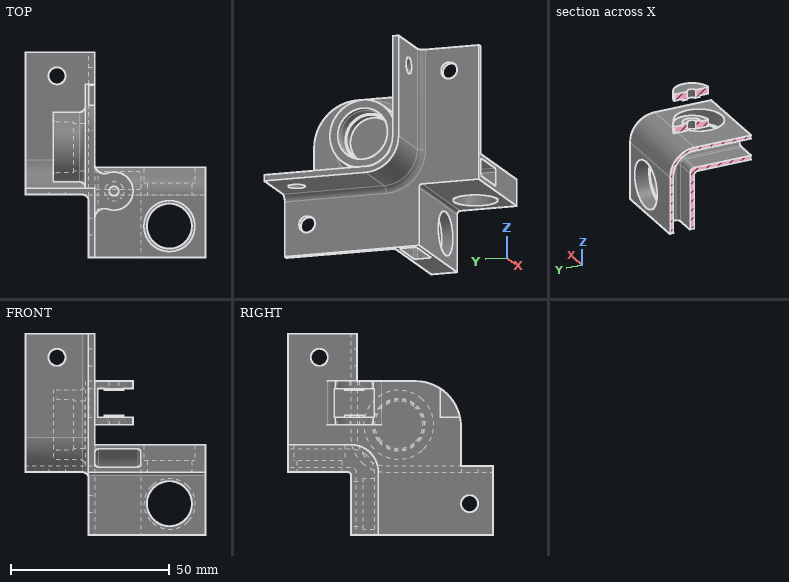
import cadquery as cq
import math

X_AXIS = (1, 0, 0)
Y_AXIS = (0, 1, 0)
Z_AXIS = (0, 0, 1)
COS_45 = math.sqrt(0.5)

LENGTH_X = 57.0
LENGTH_Y = 65.0
LENGTH_Z = 63.75

CORNER = 19.95
SHEET = 2.0
SHEET_BACK = CORNER + SHEET
BEND_OUTER_R = 11.05
BEND_CENTRE = CORNER + BEND_OUTER_R
WEB_FILLET_R = SHEET

SLAB = 8.7
SLAB_BACK = CORNER + SLAB
CORNER_FILLET_R = 1.05

SCREW_R = 2.65
SCREW_END_INSET = 7.5
SCREW_SIDE = CORNER / 2

SLAB_HOLE_X = 45.55
SLAB_HOLE_SIDE = CORNER / 2
SLAB_HOLE_R = 7.1
SLAB_COUNTERBORE_R = 8.05
SLAB_COUNTERBORE_DEPTH = 5.0

CHANNEL_WIDTH = 14.55
CHANNEL_HEIGHT = 5.7
CHANNEL_CORNER_R = 1.05
CHANNEL_BEND_R = 4.5

FLANGE_X = 19.0
FLANGE_Y = 54.85
FLANGE_Z = 48.8
FLANGE_CORNER_R = 14.55
NOTCH_X = 20.1
NOTCH_WIDTH = 6.6

BOSS_CENTRE = 35.05
BOSS_X = 8.85
BOSS_R = 11.0
BOSS_FILLET_R = SHEET
BORE_MOUTH_R = 8.3
BORE_R = 8.0
BORE_LEAD_IN = 1.5
BORE_DEPTH = 6.25
BORE_END_R = 7.55
BORE_END_DEPTH = 10.0

LUG_TOP = FLANGE_Z
LUG_THICKNESS = 2.5
LUG_GAP = 9.0
LUG_GAP_TOP = LUG_TOP - LUG_THICKNESS
LUG_GAP_BOTTOM = LUG_GAP_TOP - LUG_GAP
LUG_BOTTOM = LUG_GAP_BOTTOM - LUG_THICKNESS
LUG_R = 6.05
LUG_Y = 21.05
LUG_FILLET_R = 3.0
LUG_WEB = 1.0
PAD_R = 3.05
PAD_HEIGHT = 0.5
PIN_R = 1.5


def box(x_range, y_range, z_range):
    """Block between the given limits on each axis."""
    size = [high - low for low, high in (x_range, y_range, z_range)]
    origin = (x_range[0], y_range[0], z_range[0])
    return cq.Workplane("XY").box(*size, centered=False).translate(origin)


def cylinder(centre, axis, radius, length):
    """Cylinder that starts at centre and runs along axis."""
    solid = cq.Solid.makeCylinder(radius, length, cq.Vector(*centre), cq.Vector(*axis))
    return cq.Workplane(obj=solid)


def bent_region(offset):
    """YZ outline of the space above and behind the bent sheet, grown by offset towards the corner."""
    edge = CORNER - offset
    radius = BEND_OUTER_R + offset
    diagonal = BEND_CENTRE - radius * COS_45
    return (
        cq.Workplane("YZ")
        .moveTo(LENGTH_Y, edge)
        .lineTo(BEND_CENTRE, edge)
        .threePointArc((diagonal, diagonal), (edge, BEND_CENTRE))
        .lineTo(edge, LENGTH_Z)
        .lineTo(LENGTH_Y, LENGTH_Z)
        .close()
    )


def bent_sheet():
    """Sheet that stands facing -Y and bends back to lie flat."""
    outer = bent_region(0).extrude(SHEET_BACK)
    inner = bent_region(-SHEET).extrude(SHEET_BACK)
    return outer.cut(inner)


def web_sheet():
    """Sheet normal to X that closes the bent sheet and carries the slab."""
    upright = box((CORNER, SHEET_BACK), (0, SHEET_BACK), (CORNER, LENGTH_Z))
    lower = box((CORNER, SHEET_BACK), (CORNER, LENGTH_Y), (0, SHEET_BACK))
    return upright.union(lower)


def web_fillet():
    """Concave fillet where the outside of the bent sheet meets the web."""
    start_x = CORNER - WEB_FILLET_R
    end_y = CORNER - WEB_FILLET_R
    root = CORNER + SHEET / 2
    mid = WEB_FILLET_R * COS_45
    profile = (
        cq.Workplane("XY", origin=(0, 0, LENGTH_Z))
        .moveTo(start_x, CORNER)
        .threePointArc((start_x + mid, end_y + mid), (CORNER, end_y))
        .lineTo(root, end_y)
        .lineTo(root, root)
        .lineTo(start_x, root)
        .close()
    )
    diagonal = BEND_CENTRE - BEND_OUTER_R * COS_45
    path = (
        cq.Workplane("YZ", origin=(start_x, 0, 0))
        .moveTo(CORNER, LENGTH_Z)
        .lineTo(CORNER, BEND_CENTRE)
        .threePointArc((diagonal, diagonal), (BEND_CENTRE, CORNER))
        .lineTo(LENGTH_Y, CORNER)
    )
    return profile.sweep(path)


def slab():
    """Thick slab bent round the inner corner edge, with a rounded outside."""
    top = box((CORNER, LENGTH_X), (0, SLAB_BACK), (CORNER, SLAB_BACK))
    back = box((CORNER, LENGTH_X), (CORNER, SLAB_BACK), (0, SLAB_BACK))
    outer_edge = cq.NearestToPointSelector(((CORNER + LENGTH_X) / 2, SLAB_BACK, SLAB_BACK))
    return top.union(back).edges(outer_edge).fillet(SLAB)


def corner_fillet():
    """Small fillet along the inner corner edge."""
    low = CORNER - CORNER_FILLET_R
    length = LENGTH_X - CORNER
    block = box((CORNER, LENGTH_X), (low, CORNER), (low, CORNER))
    return block.cut(cylinder((CORNER, low, low), X_AXIS, CORNER_FILLET_R, length))


def channel():
    """Rounded rectangular passage through the slab, open at its front and bottom ends."""
    middle = CORNER + CHANNEL_BEND_R
    centre_x = SHEET_BACK + CHANNEL_WIDTH / 2
    diagonal = CORNER + CHANNEL_BEND_R * COS_45
    path = (
        cq.Workplane("YZ", origin=(centre_x, 0, 0))
        .moveTo(0, middle)
        .lineTo(CORNER, middle)
        .threePointArc((diagonal, diagonal), (middle, CORNER))
        .lineTo(middle, 0)
    )
    section = cq.Sketch().rect(CHANNEL_WIDTH, CHANNEL_HEIGHT).vertices().fillet(CHANNEL_CORNER_R)
    return cq.Workplane("XZ", origin=(centre_x, 0, middle)).placeSketch(section).sweep(path)


def flange():
    """Upright plate with one rounded corner, notched on its +X side."""
    plate = box((FLANGE_X, SHEET_BACK), (CORNER, FLANGE_Y), (CORNER, FLANGE_Z))
    free_edge = cq.NearestToPointSelector((CORNER, FLANGE_Y, FLANGE_Z))
    plate = plate.edges(free_edge).fillet(FLANGE_CORNER_R)
    plate = plate.intersect(bent_region(0).extrude(SHEET_BACK))
    notch = box((NOTCH_X, SHEET_BACK), (FLANGE_Y - NOTCH_WIDTH, FLANGE_Y), (LUG_GAP_BOTTOM, FLANGE_Z))
    return plate.cut(notch)


def revolve_about_boss(profile):
    """Revolve an outline of (radius, x) points about the boss axis."""
    solid = profile.close().revolve(360, (0, 0, 0), Y_AXIS)
    return solid.rotate((0, 0, 0), Z_AXIS, -90).translate((0, BOSS_CENTRE, BOSS_CENTRE))


def boss():
    """Round boss that flares into the flange."""
    flare = BOSS_FILLET_R * (1 - COS_45)
    return revolve_about_boss(
        cq.Workplane("XY")
        .moveTo(0, BOSS_X)
        .lineTo(BOSS_R, BOSS_X)
        .lineTo(BOSS_R, FLANGE_X - BOSS_FILLET_R)
        .threePointArc((BOSS_R + flare, FLANGE_X - flare), (BOSS_R + BOSS_FILLET_R, FLANGE_X))
        .lineTo(BOSS_R + BOSS_FILLET_R, CORNER)
        .lineTo(0, CORNER)
    )


def boss_bore():
    """Blind bore with a tapered mouth and a narrower end."""
    return revolve_about_boss(
        cq.Workplane("XY")
        .moveTo(0, BOSS_X)
        .lineTo(BORE_MOUTH_R, BOSS_X)
        .lineTo(BORE_R, BOSS_X + BORE_LEAD_IN)
        .lineTo(BORE_R, BOSS_X + BORE_DEPTH)
        .lineTo(BORE_END_R, BOSS_X + BORE_DEPTH)
        .lineTo(BORE_END_R, BOSS_X + BORE_END_DEPTH)
        .lineTo(0, BOSS_X + BORE_END_DEPTH)
    )


def hinge():
    """Pair of round lugs joined by a thin web, with pads and a pin hole."""
    lug_x = SHEET_BACK + LUG_R
    height = LUG_TOP - LUG_BOTTOM
    fillet_x = SHEET_BACK + LUG_FILLET_R
    reach = LUG_R + LUG_FILLET_R
    fillet_y = math.sqrt(reach**2 - (lug_x - fillet_x) ** 2)
    touch_x = lug_x - (lug_x - fillet_x) * LUG_R / reach

    neck = box((CORNER, touch_x), (LUG_Y - fillet_y, LUG_Y + fillet_y), (LUG_BOTTOM, LUG_TOP))
    for side in (-1, 1):
        centre = (fillet_x, LUG_Y + side * fillet_y, LUG_BOTTOM)
        neck = neck.cut(cylinder(centre, Z_AXIS, LUG_FILLET_R, height))
    body = neck.union(cylinder((lug_x, LUG_Y, LUG_BOTTOM), Z_AXIS, LUG_R, height))

    gap_x = (SHEET_BACK + LUG_WEB, lug_x + LUG_R)
    body = body.cut(box(gap_x, (0, LENGTH_Y), (LUG_GAP_BOTTOM, LUG_GAP_TOP)))
    for pad_bottom in (LUG_GAP_BOTTOM, LUG_GAP_TOP - PAD_HEIGHT):
        body = body.union(cylinder((lug_x, LUG_Y, pad_bottom), Z_AXIS, PAD_R, PAD_HEIGHT))
    return body.cut(cylinder((lug_x, LUG_Y, LUG_BOTTOM), Z_AXIS, PIN_R, height))


def screw_holes():
    """Two holes near the top end and two near the back end."""
    top_z = LENGTH_Z - SCREW_END_INSET
    back_y = LENGTH_Y - SCREW_END_INSET
    holes = cylinder((SCREW_SIDE, CORNER, top_z), Y_AXIS, SCREW_R, SHEET)
    holes = holes.union(cylinder((SCREW_SIDE, back_y, CORNER), Z_AXIS, SCREW_R, SHEET))
    holes = holes.union(cylinder((CORNER, SCREW_SIDE, top_z), X_AXIS, SCREW_R, SHEET))
    return holes.union(cylinder((CORNER, back_y, SCREW_SIDE), X_AXIS, SCREW_R, SHEET))


def slab_holes():
    """One stepped hole through each leg of the slab, wide part on the outside."""
    wide_start = SLAB_BACK - SLAB_COUNTERBORE_DEPTH
    holes = cylinder((SLAB_HOLE_X, SLAB_HOLE_SIDE, CORNER), Z_AXIS, SLAB_HOLE_R, SLAB)
    holes = holes.union(cylinder((SLAB_HOLE_X, CORNER, SLAB_HOLE_SIDE), Y_AXIS, SLAB_HOLE_R, SLAB))
    for centre, axis in (
        ((SLAB_HOLE_X, SLAB_HOLE_SIDE, wide_start), Z_AXIS),
        ((SLAB_HOLE_X, wide_start, SLAB_HOLE_SIDE), Y_AXIS),
    ):
        holes = holes.union(cylinder(centre, axis, SLAB_COUNTERBORE_R, SLAB_COUNTERBORE_DEPTH))
    return holes


result = (
    bent_sheet()
    .union(web_sheet())
    .union(web_fillet())
    .union(slab())
    .union(corner_fillet())
    .union(flange())
    .union(boss())
    .union(hinge())
    .cut(boss_bore())
    .cut(channel())
    .cut(screw_holes())
    .cut(slab_holes())
)